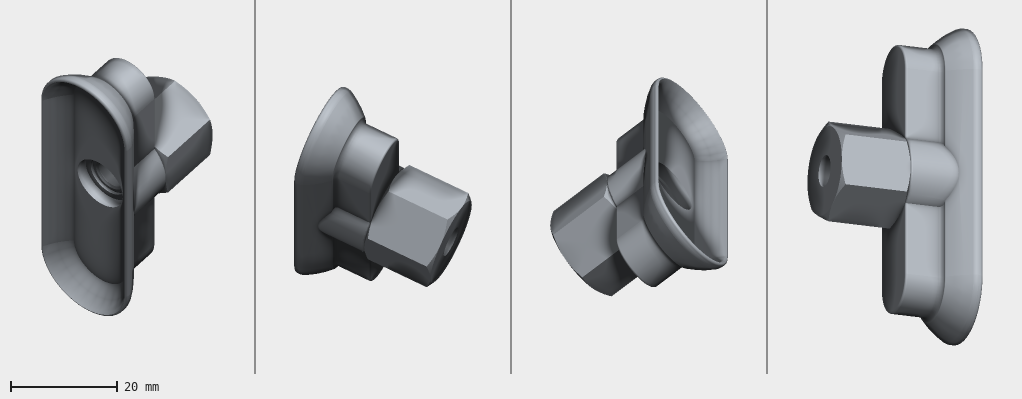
import cadquery as cq
import math


LENGTH = 61.5
CUP_RADIUS = 10.5
END_OFFSET = LENGTH / 2 - CUP_RADIUS
RIM_BAND = 0.95
RIM_ROUND = 0.5
RIM_BLEND_RADIUS = 2.0
RIM_BLEND_ANGLE = math.radians(28)
WALL_CURVE_RADIUS = 18.0
CUP_BACK_Y = 6.35
SHOULDER_ROUND = 0.25
SHOULDER_ANGLE = math.radians(45)
MOUTH_RADIUS = CUP_RADIUS - RIM_ROUND
FLOOR_RADIUS = 6.4
FLOOR_Y = 5.0
CAVITY_CURVE_RADIUS = 16.0

SPINE_RADIUS = 6.0
BACK_Y = 14.0
BACK_EDGE_RADIUS = 0.4
ROOT_FILLET = 0.85
BOSS_RADIUS = 8.75
BOSS_START_Y = 4.0

HEX_SIDES = 6
HEX_FLATS = 17.0
HEX_END_Y = 28.0
HEX_CHAMFER_ANGLE = math.radians(30)

COUNTERBORE_RADIUS = 5.5
COUNTERBORE_Y = 7.4
GROOVE_RADIUS = 8.57 / 2
GROOVE_Y = 8.05
SEAT_RADIUS = 4.0
SEAT_Y = 7.85
BORE_RADIUS = 3.0
BORE_MOUTH_RADIUS = 3.4
BORE_MOUTH_DEPTH = 0.4


def revolve_about_y(profile):
    """Revolve a closed (radius, y) profile about the Y axis."""
    return profile.close().revolve(360, (0, 0, 0), (0, 1, 0))


def stadium_sweep(make_profile):
    """Solid whose section follows a stadium: two revolved ends joined by a prism.

    make_profile returns an open outline that starts and ends on the Y axis.
    """
    end = revolve_about_y(make_profile())
    half = make_profile().close().extrude(END_OFFSET, both=True)
    middle = half.union(half.mirror("YZ"))
    upper = end.translate((0, 0, END_OFFSET))
    lower = end.translate((0, 0, -END_OFFSET))
    return middle.union(upper).union(lower)


def body_profile():
    """Half outline of the cup, its rounded shoulder, the root fillet and the spine block."""
    blend_radius = CUP_RADIUS - RIM_BLEND_RADIUS * (1 - math.cos(RIM_BLEND_ANGLE))
    blend_y = RIM_BAND + RIM_BLEND_RADIUS * math.sin(RIM_BLEND_ANGLE)
    root_end_radius = SPINE_RADIUS + ROOT_FILLET
    shoulder_radius = root_end_radius + SHOULDER_ROUND * math.sin(SHOULDER_ANGLE)
    shoulder_y = CUP_BACK_Y - SHOULDER_ROUND * (1 - math.cos(SHOULDER_ANGLE))
    return (
        cq.Workplane("XY")
        .moveTo(0, 0)
        .lineTo(MOUTH_RADIUS, 0)
        .radiusArc((CUP_RADIUS, RIM_ROUND), -RIM_ROUND)
        .lineTo(CUP_RADIUS, RIM_BAND)
        .radiusArc((blend_radius, blend_y), -RIM_BLEND_RADIUS)
        .radiusArc((shoulder_radius, shoulder_y), -WALL_CURVE_RADIUS)
        .radiusArc((root_end_radius, CUP_BACK_Y), -SHOULDER_ROUND)
        .radiusArc((SPINE_RADIUS, CUP_BACK_Y + ROOT_FILLET), ROOT_FILLET)
        .lineTo(SPINE_RADIUS, BACK_Y - BACK_EDGE_RADIUS)
        .radiusArc((SPINE_RADIUS - BACK_EDGE_RADIUS, BACK_Y), -BACK_EDGE_RADIUS)
        .lineTo(0, BACK_Y)
    )


def cavity_profile():
    """Half outline of the cup interior."""
    return (
        cq.Workplane("XY")
        .moveTo(0, 0)
        .lineTo(MOUTH_RADIUS, 0)
        .radiusArc((FLOOR_RADIUS, FLOOR_Y), -CAVITY_CURVE_RADIUS)
        .lineTo(0, FLOOR_Y)
    )


def make_boss():
    """Round boss through the spine block, with a rounded back edge."""
    return revolve_about_y(
        cq.Workplane("XY")
        .moveTo(0, BOSS_START_Y)
        .lineTo(BOSS_RADIUS, BOSS_START_Y)
        .lineTo(BOSS_RADIUS, BACK_Y - BACK_EDGE_RADIUS)
        .radiusArc((BOSS_RADIUS - BACK_EDGE_RADIUS, BACK_Y), -BACK_EDGE_RADIUS)
        .lineTo(0, BACK_Y)
    )


def make_hex():
    """Hexagon with flats facing +X and -X and both ends chamfered to a cone."""
    flat_radius = HEX_FLATS / 2
    corner_radius = flat_radius / math.cos(math.pi / HEX_SIDES)
    chamfer_depth = (corner_radius - flat_radius) * math.tan(HEX_CHAMFER_ANGLE)
    hex_length = HEX_END_Y - BACK_Y
    prism = (
        cq.Workplane("XZ", origin=(0, BACK_Y, 0))
        .transformed(rotate=(0, 0, 90))
        .polygon(HEX_SIDES, 2 * corner_radius)
        .extrude(-hex_length)
    )
    envelope = revolve_about_y(
        cq.Workplane("XY")
        .moveTo(0, BACK_Y)
        .lineTo(flat_radius, BACK_Y)
        .lineTo(corner_radius, BACK_Y + chamfer_depth)
        .lineTo(corner_radius, HEX_END_Y - chamfer_depth)
        .lineTo(flat_radius, HEX_END_Y)
        .lineTo(0, HEX_END_Y)
    )
    return prism.intersect(envelope)


def make_bore():
    """Through bore: counterbore, then a V groove around a raised seat, then the flow hole."""
    return revolve_about_y(
        cq.Workplane("XY")
        .moveTo(0, FLOOR_Y)
        .lineTo(COUNTERBORE_RADIUS, FLOOR_Y)
        .lineTo(COUNTERBORE_RADIUS, COUNTERBORE_Y)
        .lineTo(GROOVE_RADIUS, COUNTERBORE_Y)
        .lineTo(GROOVE_RADIUS, GROOVE_Y)
        .lineTo(SEAT_RADIUS, SEAT_Y)
        .lineTo(BORE_MOUTH_RADIUS, SEAT_Y)
        .lineTo(BORE_RADIUS, SEAT_Y + BORE_MOUTH_DEPTH)
        .lineTo(BORE_RADIUS, HEX_END_Y)
        .lineTo(0, HEX_END_Y)
    )


outer = stadium_sweep(body_profile).union(make_boss()).union(make_hex())
result = outer.cut(stadium_sweep(cavity_profile)).cut(make_bore())